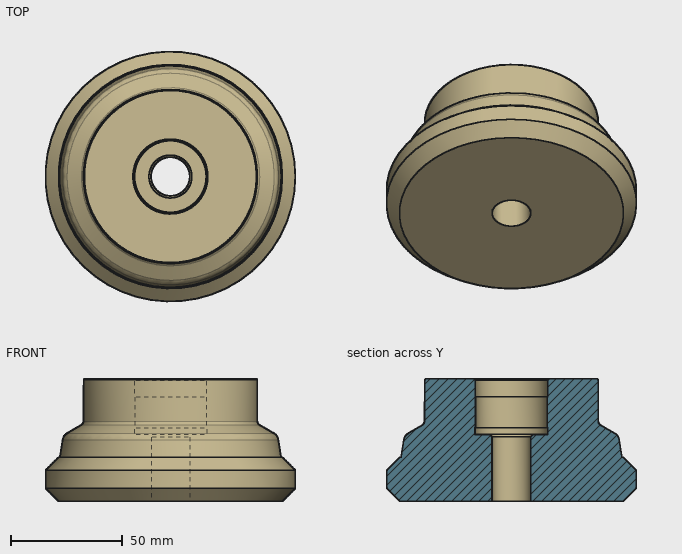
import cadquery as cq
import math

height = 55.0
outer_radius = 56.0

flange_height = 19.8
bevel = 5.8

shoulder_base_radius = 49.6
shoulder_top_radius = 48.1
shoulder_fillet = 4.0

neck_radius = 39.0
neck_base_z = 34.8
slope_angle = math.radians(30)
neck_fillet = 1.9
neck_chamfer = 0.5

entry_radius = 16.1
entry_depth = 8.2
entry_chamfer = 0.7
seat_radius = 16.0
seat_depth = 22.0
relief_radius = 16.2
floor_depth = 25.0

hole_radius = 8.6
hole_chamfer = 1.0


def revolve_profile(points):
    """Turn a closed (radius, z) outline about the Z axis."""
    return cq.Workplane("XZ").polyline(points).close().revolve(360, (0, 0, 0), (0, 1, 0))


def circles_of_radius(solid, radius):
    """Select the circular edges with the given radius."""
    tolerance = 0.001
    return solid.edges("%CIRCLE").filter(lambda edge: abs(edge.radius() - radius) < tolerance)


def make_body():
    bevel_radius = outer_radius - bevel
    shoulder_top_z = neck_base_z - (shoulder_top_radius - neck_radius) * math.tan(slope_angle)
    body = revolve_profile([
        (0, 0),
        (bevel_radius, 0),
        (outer_radius, bevel),
        (outer_radius, flange_height - bevel),
        (bevel_radius, flange_height),
        (shoulder_base_radius, flange_height),
        (shoulder_top_radius, shoulder_top_z),
        (neck_radius, neck_base_z),
        (neck_radius, height),
        (0, height),
    ])
    body = body.faces(">Z").edges().chamfer(neck_chamfer)
    body = circles_of_radius(body, shoulder_top_radius).fillet(shoulder_fillet)
    return circles_of_radius(body, neck_radius).edges("<Z").fillet(neck_fillet)


def make_bore():
    entry_z = height - entry_depth
    seat_z = height - seat_depth
    floor_z = height - floor_depth
    return revolve_profile([
        (0, 0),
        (hole_radius, 0),
        (hole_radius, floor_z - hole_chamfer),
        (hole_radius + hole_chamfer, floor_z),
        (relief_radius, floor_z),
        (relief_radius, seat_z),
        (seat_radius, seat_z),
        (seat_radius, entry_z),
        (entry_radius, entry_z),
        (entry_radius, height - entry_chamfer),
        (entry_radius + entry_chamfer, height),
        (0, height),
    ])


result = make_body().cut(make_bore())